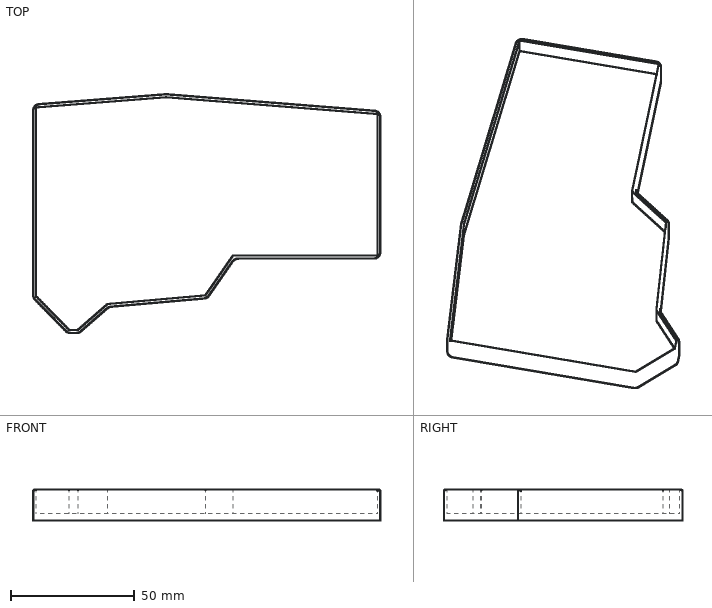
import cadquery as cq

length = 140.9
width = 97.0
height = 12.7

wall = 1.3
floor = 3.0
corner_radius = 2.8
rim_radius = 1.0

left_top_y = 92.7
apex_x = 54.0
right_top_y = 90.0
right_bottom_y = 30.2
notch_top_x = 81.7
notch_bottom = (70.6, 14.1)
tip_root = (30.7, 10.5)
tip_right_x = 18.6
tip_left_x = 14.1
left_bottom_y = 14.4

apex = (apex_x, width)
outline = [
    (tip_left_x, 0),
    (tip_right_x, 0),
    tip_root,
    notch_bottom,
    (notch_top_x, right_bottom_y),
    (length, right_bottom_y),
    (length, right_top_y),
    apex,
    (0, left_top_y),
    (0, left_bottom_y),
]


def make_body():
    """Solid plate with rounded upright corners, except the shallow apex, and a rounded top edge."""
    block = cq.Workplane("XY").polyline(outline).close().extrude(height)
    apex_edge = cq.selectors.NearestToPointSelector((*apex, height / 2))
    upright_edges = cq.selectors.ParallelDirSelector(cq.Vector(0, 0, 1))
    body = block.edges(upright_edges - apex_edge).fillet(corner_radius)
    return body.faces(">Z").edges().fillet(rim_radius)


def make_pocket():
    """Sharp-cornered pocket, one wall thickness inside the outline and open at the top."""
    inside = cq.Workplane("XY").polyline(outline).close().offset2D(-wall, "intersection")
    return inside.extrude(height - floor).translate((0, 0, floor))


result = make_body().cut(make_pocket())